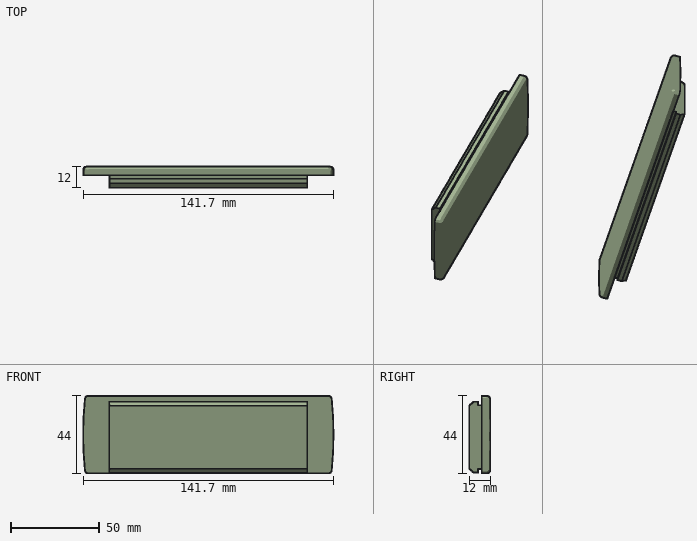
import cadquery as cq
import math

plate_length = 141.7
plate_height = 44.0
plate_thickness = 5.0
end_radius = 199.8
corner_radius = 2.0
edge_radius = 2.1

block_length = 112.0
block_height = 40.2
block_offset = -1.4
neck_depth = 2.0
lip_depth = 2.5
lip_overhang = 2.0
bevel_depth = 2.5
bevel_height = 2.3


def make_plate():
    """Plate from y = 0 back to +Y, rounded around its back edge."""
    half_length = plate_length / 2
    half_height = plate_height / 2
    bow = end_radius - math.sqrt(end_radius**2 - half_height**2)
    corner_x = half_length - bow
    outline = (
        cq.Workplane("XZ")
        .moveTo(-corner_x, half_height)
        .lineTo(corner_x, half_height)
        .threePointArc((half_length, 0), (corner_x, -half_height))
        .lineTo(-corner_x, -half_height)
        .threePointArc((-half_length, 0), (-corner_x, half_height))
        .close()
    )
    plate = outline.extrude(-plate_thickness)
    plate = plate.edges("|Y").fillet(corner_radius)
    return plate.faces(">Y").edges().fillet(edge_radius)


def make_block():
    """Block running along X: neck against the plate, then lips, then bevelled edges."""
    half_height = block_height / 2
    half_neck = half_height - lip_overhang
    half_face = half_height - bevel_height
    lip_back = -neck_depth
    lip_front = lip_back - lip_depth
    front = lip_front - bevel_depth
    upper_profile = [
        (0, half_neck),
        (lip_back, half_neck),
        (lip_back, half_height),
        (lip_front, half_height),
        (front, half_face),
    ]
    lower_profile = [(y, -z) for y, z in reversed(upper_profile)]
    block = cq.Workplane("YZ").polyline(upper_profile + lower_profile).close()
    return block.extrude(block_length / 2, both=True).translate((0, 0, block_offset))


result = make_plate().union(make_block())